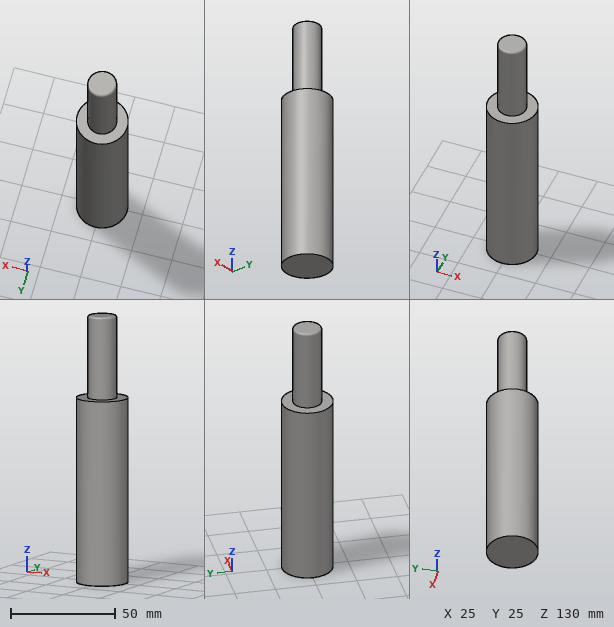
import cadquery as cq

total_length = 130.0
body_diameter = 25.0
body_length = 90.0
pin_diameter = 14.0
tip_radius = 1.0

pin_length = total_length - body_length

body = cq.Workplane("XY").circle(body_diameter / 2).extrude(body_length)

pin = (
    cq.Workplane("XY")
    .workplane(offset=body_length)
    .circle(pin_diameter / 2)
    .extrude(pin_length)
    .faces(">Z")
    .edges()
    .fillet(tip_radius)
)

result = body.union(pin)